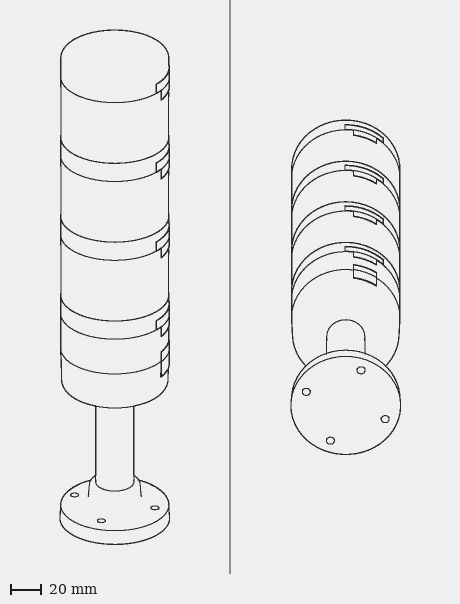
import cadquery as cq
import math


tower_radius = 70.0 / 2
lens_foot_radius = 69.8 / 2
total_height = 342
module_count = 3
module_height = 58.0
ring_height = 13.5
terminal_bottom = 125.5
first_module_bottom = 151.2
cap_bottom = first_module_bottom + module_count * module_height
cap_fillet = 3.0

cup_bottom = 98.5
cup_bottom_radius = 62.0 / 2
cup_fillet_top = 102.5
cup_wall_foot_radius = 34.5
cup_wall_top = 122.5

pole_radius = 24.5 / 2
hub_top = 26.7
hub_foot = 16.5
hub_shoulder = 24.5
hub_shoulder_radius = 16.5
hub_foot_radius = 17.0
hub_fillet = hub_top - hub_shoulder
hub_top_radius = hub_shoulder_radius - hub_fillet
flange_radius = 71.0 / 2
flange_shoulder = 10.0
flange_shoulder_radius = 35.07
flange_top_radius = 63.0 / 2
flange_height = 12.3
flange_rim_fillet = 3.8
hub_blend = hub_foot - flange_height

screw_hole_diameter = 5.0
screw_circle_radius = 27.5
screw_hole_count = 4

mark_outer_radius = tower_radius + 0.5
mark_root_depth = 1.0
upper_mark_height = 7.0
upper_mark_half_angle = 22
lower_mark_height = 7.2
lower_mark_half_angle = 13
mount_mark_bottom = 114.3


def revolve(outline):
    """Close an (r, z) outline and turn it about the Z axis."""
    return outline.close().revolve(360, (0, 0, 0), (0, 1, 0))


def make_mark(bottom, height, half_angle):
    """Curved pad standing slightly proud of the tower wall, centred on +X."""
    half_width = mark_outer_radius * math.sin(math.radians(half_angle))
    inner_radius = tower_radius - mark_root_depth
    shell = (
        cq.Workplane("XY", origin=(0, 0, bottom))
        .circle(mark_outer_radius)
        .circle(inner_radius)
        .extrude(height)
    )
    window = cq.Workplane("XY", origin=(0, 0, bottom)).box(
        mark_outer_radius, 2 * half_width, height, centered=(False, True, False)
    )
    return shell.intersect(window)


def add_mark(body, bottom, height, half_angle):
    """Fuse a mark to the wall of a body."""
    return body.union(make_mark(bottom, height, half_angle))


def make_mount():
    """Flange, hub, pole and tapered cup in one piece."""
    outline = (
        cq.Workplane("XZ")
        .lineTo(flange_radius, 0)
        .lineTo(flange_shoulder_radius, flange_shoulder)
        .radiusArc((flange_top_radius, flange_height), -flange_rim_fillet)
        .lineTo(hub_foot_radius + hub_blend, flange_height)
        .radiusArc((hub_foot_radius, hub_foot), hub_blend)
        .lineTo(hub_shoulder_radius, hub_shoulder)
        .radiusArc((hub_top_radius, hub_top), -hub_fillet)
        .lineTo(pole_radius, hub_top)
        .lineTo(pole_radius, cup_bottom)
        .lineTo(cup_bottom_radius, cup_bottom)
        .radiusArc((cup_wall_foot_radius, cup_fillet_top), -(cup_fillet_top - cup_bottom))
        .lineTo(tower_radius, cup_wall_top)
        .lineTo(tower_radius, terminal_bottom)
        .lineTo(0, terminal_bottom)
    )
    mount = revolve(outline)
    screw_holes = (
        cq.Workplane("XY")
        .polarArray(screw_circle_radius, 0, 360, screw_hole_count)
        .circle(screw_hole_diameter / 2)
        .extrude(flange_height)
    )
    mount = mount.cut(screw_holes)
    return add_mark(mount, mount_mark_bottom, terminal_bottom - mount_mark_bottom, lower_mark_half_angle)


def make_terminal_unit():
    """Plain drum between the mount and the lowest light module."""
    height = first_module_bottom - terminal_bottom
    drum = cq.Workplane("XY", origin=(0, 0, terminal_bottom)).circle(tower_radius).extrude(height)
    drum = add_mark(drum, terminal_bottom, lower_mark_height, lower_mark_half_angle)
    return add_mark(drum, first_module_bottom - lower_mark_height, lower_mark_height, lower_mark_half_angle)


def make_light_module(bottom):
    """Locking ring below a slightly flared lens, with a small step between them."""
    top = bottom + module_height
    outline = (
        cq.Workplane("XZ")
        .moveTo(0, bottom)
        .lineTo(tower_radius, bottom)
        .lineTo(tower_radius, bottom + ring_height)
        .lineTo(lens_foot_radius, bottom + ring_height)
        .lineTo(tower_radius, top)
        .lineTo(0, top)
    )
    module = revolve(outline)
    module = add_mark(module, bottom, upper_mark_height, upper_mark_half_angle)
    return add_mark(module, top - lower_mark_height, lower_mark_height, lower_mark_half_angle)


def make_cap():
    """Closing cap with a rounded top rim."""
    cap = (
        cq.Workplane("XY", origin=(0, 0, cap_bottom))
        .circle(tower_radius)
        .extrude(total_height - cap_bottom)
        .faces(">Z").edges().fillet(cap_fillet)
    )
    return add_mark(cap, cap_bottom, upper_mark_height, upper_mark_half_angle)


mount = make_mount()
terminal_unit = make_terminal_unit()
light_modules = [
    make_light_module(first_module_bottom + index * module_height) for index in range(module_count)
]
cap = make_cap()

result = cq.Compound.makeCompound(
    [mount.val(), terminal_unit.val(), *[module.val() for module in light_modules], cap.val()]
)